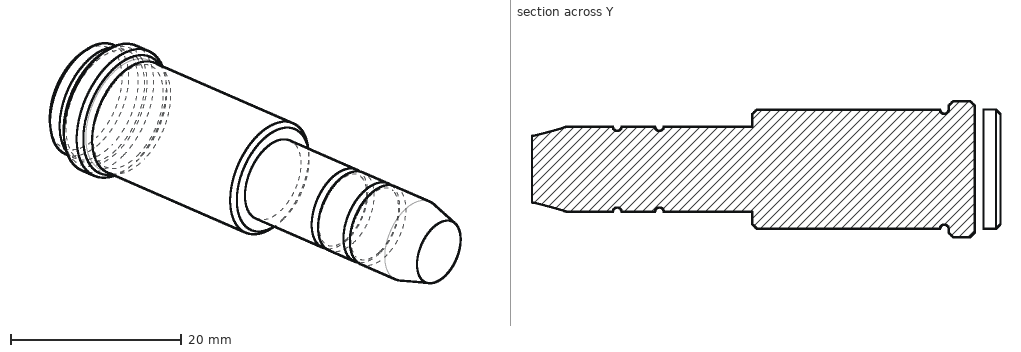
import cadquery as cq
import math

total_length = 55.0
flange_radius = 16.0 / 2
body_radius = 14.0 / 2
stem_radius = 10.0 / 2
tip_radius = 3.9

flange_start = 3.0
flange_end = 6.1
body_end = 29.15
stem_groove_starts = (39.55, 44.5)
taper_start = 50.95

edge_chamfer = 0.55
groove_width = 1.0
groove_radius = groove_width / 2


def cylinder(start, end, radius):
    """Solid round section along X."""
    return cq.Workplane("YZ", origin=(start, 0, 0)).circle(radius).extrude(end - start)


def round_groove(start, surface_radius):
    """Ring that cuts a half-round groove centred on a cylindrical surface."""
    return (
        cq.Workplane("XY")
        .center(start + groove_radius, surface_radius)
        .circle(groove_radius)
        .revolve(360, (-0.55, -surface_radius, 0), (0.55, -surface_radius, 0))
    )


body = cylinder(0, body_end, body_radius).faces("<X or >X").chamfer(edge_chamfer)
for groove_start in (flange_start - groove_width, flange_end):
    body = body.cut(round_groove(groove_start, body_radius))

flange = cylinder(flange_start, flange_end, flange_radius).faces("<X or >X").chamfer(edge_chamfer)

stem = cylinder(body_end, taper_start, stem_radius)
for groove_start in stem_groove_starts:
    stem = stem.cut(round_groove(groove_start, stem_radius))

tip_length = total_length - taper_start
taper_angle = math.degrees(math.atan2(stem_radius - tip_radius, tip_length))
tip = (
    cq.Workplane("YZ", origin=(taper_start, 0, 0))
    .circle(stem_radius)
    .extrude(tip_length, taper=taper_angle)
)

result = body.union(flange).union(stem).union(tip)